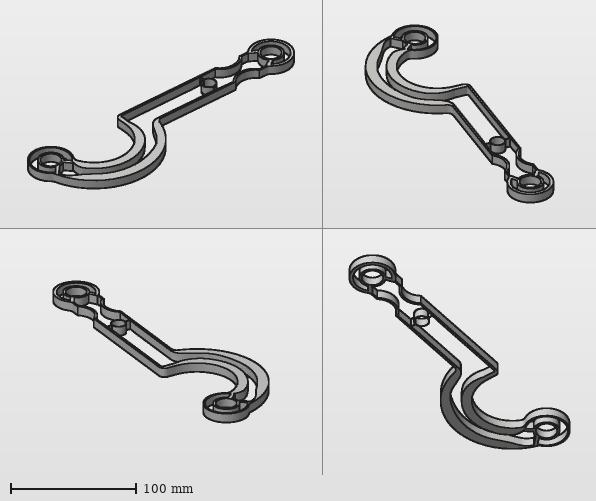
import cadquery as cq
import math

THICKNESS = 8.0

EYE_SPACING = 230.0
EYE_RADIUS = 18.5
EYE_FILLET = 5.0
ARM_EYE_WALL = 2.9
HOOK_EYE_WALL = 1.4
BOSS_RADIUS = 10.5
BORE_RADIUS = 8.5

ARM_STRUT_WIDTH = 3.3
ARM_STRUT_START = (7.7, 223.5)
ARM_STRUT_END = (12.2, 216.3)
HOOK_STRUT_RADIUS = 18.0
UPPER_STRUT_WIDTH = 3.4
UPPER_STRUT_ANGLE = 41.0
LOWER_STRUT_WIDTH = 2.8
LOWER_STRUT_START = (9.3, -0.5)
LOWER_STRUT_END = (17.5, -8.7)

ARM_HALF_WIDTH = 12.5
THIN_WALL = 1.2
THICK_WALL = 2.0
TAPER_END_Y = 155.0
THIN_HALF_GAP = ARM_HALF_WIDTH - THIN_WALL
THICK_HALF_GAP = ARM_HALF_WIDTH - THICK_WALL

WAIST_Y = 195.0
WAIST_CENTRE_X = 22.0
WAIST_OUTER_RADIUS = 15.5
WAIST_WALL = 2.0
WAIST_INNER_RADIUS = WAIST_OUTER_RADIUS + WAIST_WALL

RING_Y = 165.0
RING_RADIUS = 6.25
RING_WALL = 0.4
WEB_WIDTH = 0.5

HOOK_CENTRE_Y = 45.0
THROAT_RADIUS = 32.5
BACK_RADIUS = 57.5
NECK_FILLET = 5.0
HEEL_FILLET = 5.0

INNER_BAND_RADIUS = 40.8
INNER_BAND_FLOOR_Y = 81.8
INNER_BAND_FLOOR_END_X = 1.0
INNER_BAND_CROWN = (12.6, 82.2)
INNER_BAND_TOP_X = 25.0
INNER_BAND_BOTTOM_X = 24.8
INNER_BAND_TOE = (19.5, 11.0)
INNER_BAND_TIP = (14.0, 11.5)
OUTER_BAND_TIP = (18.3, -7.2)
OUTER_BAND_CURVE = [
    (25.6, -2.6),
    (30.6, 5.0),
    (42.4, 21.8),
    (47.9, 44.5),
    (43.2, 67.2),
    (33.4, 82.5),
    (20.5, 90.6),
    (13.2, 95.5),
]
OUTER_BAND_TOP_Y = 101.8
SLOT_HEEL_FILLET = 1.0

ARM_EYE = (0, EYE_SPACING)
HOOK_EYE = (0, 0)
HOOK_CENTRE = (0, HOOK_CENTRE_Y)


def height_on_circle(radius, offset):
    """Distance along one axis of a circle point that is `offset` along the other."""
    return math.sqrt(radius**2 - offset**2)


def disc(centre, radius):
    return cq.Workplane("XY").center(*centre).circle(radius).extrude(THICKNESS)


def bar(start, end, width):
    """Straight upright web of the given width between two points."""
    run, rise = end[0] - start[0], end[1] - start[1]
    middle = ((start[0] + end[0]) / 2, (start[1] + end[1]) / 2)
    return (
        cq.Workplane("XY")
        .transformed(offset=(*middle, 0), rotate=(0, 0, math.degrees(math.atan2(rise, run))))
        .rect(math.hypot(run, rise), width)
        .extrude(THICKNESS)
    )


def waist(path, side, half_gap, radius, upward):
    """Continue a side wall line through the waist; side is -1 (left) or +1 (right)."""
    half_chord = height_on_circle(radius, WAIST_CENTRE_X - half_gap)
    direction = 1 if upward else -1
    x = side * half_gap
    deepest = (side * (WAIST_CENTRE_X - radius), WAIST_Y)
    return path.lineTo(x, WAIST_Y - direction * half_chord).threePointArc(
        deepest, (x, WAIST_Y + direction * half_chord)
    )


def arc_middle(centre, radius, first, last):
    """Point of a circle halfway between two of its points that lie under half a turn apart."""
    run = first[0] + last[0] - 2 * centre[0]
    rise = first[1] + last[1] - 2 * centre[1]
    reach = math.hypot(run, rise)
    return centre[0] + radius * run / reach, centre[1] + radius * rise / reach


def wall_fillet(wall_x, fillet_radius, arc_centre, arc_radius, above):
    """Fillet on the +X side of the wall x = wall_x, above or below a circle that it touches.

    Returns its tangent point on the circle, its middle and its tangent point on the wall.
    """
    run = wall_x + fillet_radius - arc_centre[0]
    reach = arc_radius + fillet_radius
    rise = height_on_circle(reach, run) * (1 if above else -1)
    centre = (arc_centre[0] + run, arc_centre[1] + rise)
    share = arc_radius / reach
    on_arc = (arc_centre[0] + run * share, arc_centre[1] + rise * share)
    on_wall = (wall_x, centre[1])
    return on_arc, arc_middle(centre, fillet_radius, on_arc, on_wall), on_wall


def eye_blend(arc_radius, fillet_reach):
    """Fillet between the hook eye and a hook arc, centred fillet_reach from the hook centre.

    Returns its tangent point on the eye, its middle and its tangent point on the arc.
    """
    eye_reach = EYE_RADIUS + EYE_FILLET
    y = (eye_reach**2 - fillet_reach**2 + HOOK_CENTRE_Y**2) / (2 * HOOK_CENTRE_Y)
    x = height_on_circle(eye_reach, y)
    eye_share = EYE_RADIUS / eye_reach
    arc_share = arc_radius / fillet_reach
    on_eye = (x * eye_share, y * eye_share)
    on_arc = (x * arc_share, HOOK_CENTRE_Y + (y - HOOK_CENTRE_Y) * arc_share)
    return on_eye, arc_middle((x, y), EYE_FILLET, on_eye, on_arc), on_arc


def mirrored(point):
    return -point[0], point[1]


def heel(path, wall_x, floor_y, radius):
    """Run down the left wall, round the heel and start along the floor."""
    inset = radius * (1 - math.sqrt(0.5))
    return path.lineTo(wall_x, floor_y + radius).threePointArc(
        (wall_x + inset, floor_y + inset), (wall_x + radius, floor_y)
    )


def outline():
    """Solid plate inside the outer contour of arm, hook and both eyes."""
    on_back, neck_middle, neck_on_wall = wall_fillet(
        ARM_HALF_WIDTH, NECK_FILLET, HOOK_CENTRE, BACK_RADIUS, above=True
    )
    on_arm_eye, eye_middle, eye_on_wall = wall_fillet(
        ARM_HALF_WIDTH, EYE_FILLET, ARM_EYE, EYE_RADIUS, above=False
    )
    throat_on_eye, throat_middle, throat_end = eye_blend(THROAT_RADIUS, THROAT_RADIUS - EYE_FILLET)
    back_on_eye, back_middle, back_end = eye_blend(BACK_RADIUS, BACK_RADIUS + EYE_FILLET)
    floor_y = HOOK_CENTRE_Y + THROAT_RADIUS

    path = cq.Workplane("XY").moveTo(*ARM_EYE).lineTo(*mirrored(on_arm_eye))
    path = path.threePointArc(mirrored(eye_middle), mirrored(eye_on_wall))
    path = waist(path, -1, ARM_HALF_WIDTH, WAIST_OUTER_RADIUS, upward=False)
    path = heel(path, -ARM_HALF_WIDTH, floor_y, HEEL_FILLET)
    path = (
        path.lineTo(0, floor_y)
        .threePointArc((THROAT_RADIUS, HOOK_CENTRE_Y), throat_end)
        .threePointArc(throat_middle, throat_on_eye)
        .lineTo(*HOOK_EYE)
        .lineTo(*back_on_eye)
        .threePointArc(back_middle, back_end)
        .threePointArc((BACK_RADIUS, HOOK_CENTRE_Y), on_back)
        .threePointArc(neck_middle, neck_on_wall)
    )
    path = waist(path, 1, ARM_HALF_WIDTH, WAIST_OUTER_RADIUS, upward=True)
    path = path.lineTo(*eye_on_wall).threePointArc(eye_middle, on_arm_eye)
    plate = path.close().extrude(THICKNESS)
    return plate.union(disc(ARM_EYE, EYE_RADIUS)).union(disc(HOOK_EYE, EYE_RADIUS))


def slot():
    """Long opening that runs down the arm and between the bands of the hook."""
    inner_top_y = HOOK_CENTRE_Y + height_on_circle(INNER_BAND_RADIUS, INNER_BAND_TOP_X)
    inner_bottom_y = HOOK_CENTRE_Y - height_on_circle(INNER_BAND_RADIUS, INNER_BAND_BOTTOM_X)
    outer_band_top = (THICK_HALF_GAP, OUTER_BAND_TOP_Y)
    path = cq.Workplane("XY").moveTo(-THIN_HALF_GAP, EYE_SPACING)
    path = waist(path, -1, THIN_HALF_GAP, WAIST_INNER_RADIUS, upward=False)
    path = path.lineTo(-THICK_HALF_GAP, TAPER_END_Y)
    path = heel(path, -THICK_HALF_GAP, INNER_BAND_FLOOR_Y, SLOT_HEEL_FILLET)
    path = (
        path.lineTo(INNER_BAND_FLOOR_END_X, INNER_BAND_FLOOR_Y)
        .threePointArc(INNER_BAND_CROWN, (INNER_BAND_TOP_X, inner_top_y))
        .threePointArc((INNER_BAND_RADIUS, HOOK_CENTRE_Y), (INNER_BAND_BOTTOM_X, inner_bottom_y))
        .threePointArc(INNER_BAND_TOE, INNER_BAND_TIP)
        .lineTo(*HOOK_EYE)
        .lineTo(*OUTER_BAND_TIP)
        .spline([*OUTER_BAND_CURVE, outer_band_top], includeCurrent=True)
        .lineTo(THICK_HALF_GAP, TAPER_END_Y)
    )
    path = waist(path, 1, THIN_HALF_GAP, WAIST_INNER_RADIUS, upward=True)
    return path.lineTo(THIN_HALF_GAP, EYE_SPACING).close().extrude(THICKNESS)


def struts():
    """Two mirrored struts at the arm eye and two at the hook eye."""
    angle = math.radians(UPPER_STRUT_ANGLE)
    upper_end = (HOOK_STRUT_RADIUS * math.cos(angle), HOOK_STRUT_RADIUS * math.sin(angle))
    right = bar(ARM_STRUT_START, ARM_STRUT_END, ARM_STRUT_WIDTH)
    return (
        right.union(right.mirror("YZ"))
        .union(bar(HOOK_EYE, upper_end, UPPER_STRUT_WIDTH))
        .union(bar(LOWER_STRUT_START, LOWER_STRUT_END, LOWER_STRUT_WIDTH))
    )


def hung_ring():
    """Thin ring in the arm with the web that carries it on both sides."""
    wall_middle = ARM_HALF_WIDTH - THIN_WALL / 2
    web = bar((-wall_middle, RING_Y), (wall_middle, RING_Y), WEB_WIDTH)
    return web.union(disc((0, RING_Y), RING_RADIUS)).cut(disc((0, RING_Y), RING_RADIUS - RING_WALL))


plate = outline()
frame = (
    plate.cut(slot())
    .cut(disc(ARM_EYE, EYE_RADIUS - ARM_EYE_WALL))
    .cut(disc(HOOK_EYE, EYE_RADIUS - HOOK_EYE_WALL))
    .union(struts().intersect(plate))
    .union(hung_ring())
)
for eye in (ARM_EYE, HOOK_EYE):
    frame = frame.union(disc(eye, BOSS_RADIUS)).cut(disc(eye, BORE_RADIUS))

result = frame